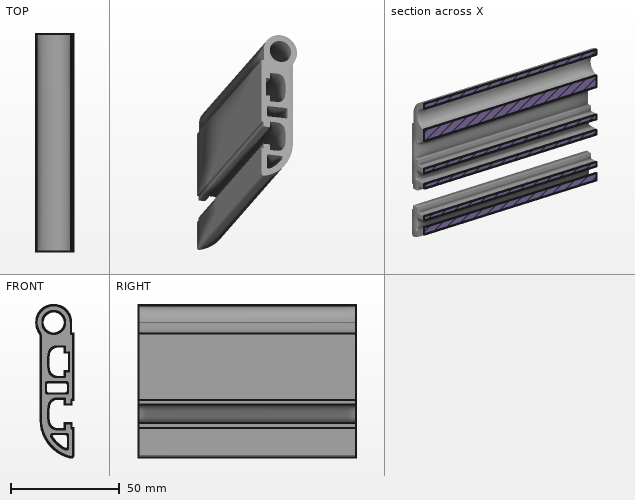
import cadquery as cq
import math

LENGTH = 100.0

BARREL_RADIUS = 8.0
BORE_DIAMETER = 10.25
NECK_FILLET = 3.0

OUTER_FACE_X = -6.0
INNER_FACE_X = 9.0
PLATE_TOP_Z = -BORE_DIAMETER / 2
CURVE_START_Z = -44.5
TOE_RADIUS = 18.0
TOE_TIP_FILLET = 1.0
WALL = 2.5

UPPER_SLOT_Z = -18.05
LOWER_SLOT_Z = -42.0
SLOT_HEIGHT = 13.9
SLOT_BACK_X = -2.5
SLOT_FRONT_X = 5.0
SLOT_BACK_RADIUS = 20.0
SLOT_CORNER_RADIUS = 3.75
MOUTH_HEIGHT = 8.5
UPPER_MOUTH_END_X = 7.0
RECESS_HEIGHT = 13.0
RECESS_DEPTH = 0.75

CAVITY_CORNER_RADIUS = 0.8
TOE_CAVITY_ROOF = 2.35
TOE_WALL = 2.8

TOE_CENTRE_X = OUTER_FACE_X + TOE_RADIUS
TOE_CAVITY_RADIUS = TOE_RADIUS - TOE_WALL
CAVITY_FRONT_X = INNER_FACE_X - WALL


def toe_curve_z(x, radius):
    """Height at x of the arc of the given radius about the toe centre."""
    return CURVE_START_Z - math.sqrt(radius**2 - (x - TOE_CENTRE_X) ** 2)


def section():
    """Workplane of the profile section, with local axes along X and Z."""
    return cq.Workplane("XZ")


def prism(outline):
    """Extrude a section outline along the full length, centred on Y = 0."""
    return outline.extrude(LENGTH / 2, both=True)


def box(x_min, x_max, z_min, z_max):
    """Full-length block covering a rectangle of the section."""
    centre = ((x_min + x_max) / 2, (z_min + z_max) / 2)
    return prism(section().center(*centre).rect(x_max - x_min, z_max - z_min))


def edge_at(x, z):
    """Selector for the lengthwise edge nearest to a point of the section."""
    return cq.selectors.NearestToPointSelector((x, 0, z))


def make_plate():
    """Flat plate whose outer face curves in to a rounded tip at the bottom."""
    tip_z = toe_curve_z(INNER_FACE_X, TOE_RADIUS)
    middle_x = (OUTER_FACE_X + INNER_FACE_X) / 2
    outline = (
        section()
        .moveTo(OUTER_FACE_X, PLATE_TOP_Z)
        .lineTo(INNER_FACE_X, PLATE_TOP_Z)
        .lineTo(INNER_FACE_X, tip_z)
        .threePointArc(
            (middle_x, toe_curve_z(middle_x, TOE_RADIUS)),
            (OUTER_FACE_X, CURVE_START_Z),
        )
        .close()
    )
    return prism(outline).edges(edge_at(INNER_FACE_X, tip_z)).fillet(TOE_TIP_FILLET)


def make_body():
    """Plate and hinge barrel joined together, with the bore through the barrel."""
    barrel = prism(section().circle(BARREL_RADIUS))
    neck = box(0, BARREL_RADIUS, PLATE_TOP_Z, 0)
    body = make_plate().union(barrel).union(neck)
    neck_z = -math.sqrt(BARREL_RADIUS**2 - OUTER_FACE_X**2)
    body = body.edges(edge_at(OUTER_FACE_X, neck_z)).fillet(NECK_FILLET)
    return body.cut(prism(section().circle(BORE_DIAMETER / 2)))


def make_slot(centre_z, mouth_end_x):
    """T-slot with a bowed back, rounded corners and a narrower mouth ending at mouth_end_x."""
    half_height = SLOT_HEIGHT / 2
    top_z = centre_z + half_height
    bottom_z = centre_z - half_height
    bow = SLOT_BACK_RADIUS - math.sqrt(SLOT_BACK_RADIUS**2 - half_height**2)
    corner_x = SLOT_BACK_X + bow
    outline = (
        section()
        .moveTo(corner_x, top_z)
        .lineTo(SLOT_FRONT_X, top_z)
        .lineTo(SLOT_FRONT_X, bottom_z)
        .lineTo(corner_x, bottom_z)
        .threePointArc((SLOT_BACK_X, centre_z), (corner_x, top_z))
        .close()
    )
    chamber = prism(outline)
    for corner_z in (bottom_z, top_z):
        chamber = chamber.edges(edge_at(corner_x, corner_z)).fillet(SLOT_CORNER_RADIUS)
    half_mouth = MOUTH_HEIGHT / 2
    mouth = box(SLOT_FRONT_X, mouth_end_x, centre_z - half_mouth, centre_z + half_mouth)
    return chamber.union(mouth)


def make_mouth_recess():
    """Shallow step in the inner face around the open slot mouth."""
    half_height = RECESS_HEIGHT / 2
    return box(
        INNER_FACE_X - RECESS_DEPTH, INNER_FACE_X,
        LOWER_SLOT_Z - half_height, LOWER_SLOT_Z + half_height,
    )


def make_middle_cavity():
    """Rounded rectangular cavity between the two slots."""
    top_z = UPPER_SLOT_Z - SLOT_HEIGHT / 2 - WALL
    bottom_z = LOWER_SLOT_Z + SLOT_HEIGHT / 2 + WALL
    cavity = box(OUTER_FACE_X + WALL, CAVITY_FRONT_X, bottom_z, top_z)
    return cavity.edges("|Y").fillet(CAVITY_CORNER_RADIUS)


def make_toe_cavity():
    """Roughly triangular cavity that follows the toe curve."""
    top_z = LOWER_SLOT_Z - SLOT_HEIGHT / 2 - TOE_CAVITY_ROOF
    back_x = TOE_CENTRE_X - math.sqrt(TOE_CAVITY_RADIUS**2 - (top_z - CURVE_START_Z) ** 2)
    middle_x = (back_x + CAVITY_FRONT_X) / 2
    outline = (
        section()
        .moveTo(back_x, top_z)
        .lineTo(CAVITY_FRONT_X, top_z)
        .lineTo(CAVITY_FRONT_X, toe_curve_z(CAVITY_FRONT_X, TOE_CAVITY_RADIUS))
        .threePointArc((middle_x, toe_curve_z(middle_x, TOE_CAVITY_RADIUS)), (back_x, top_z))
        .close()
    )
    return prism(outline).edges("|Y").fillet(CAVITY_CORNER_RADIUS)


result = (
    make_body()
    .cut(make_slot(UPPER_SLOT_Z, UPPER_MOUTH_END_X))
    .cut(make_slot(LOWER_SLOT_Z, INNER_FACE_X))
    .cut(make_mouth_recess())
    .cut(make_middle_cavity())
    .cut(make_toe_cavity())
)